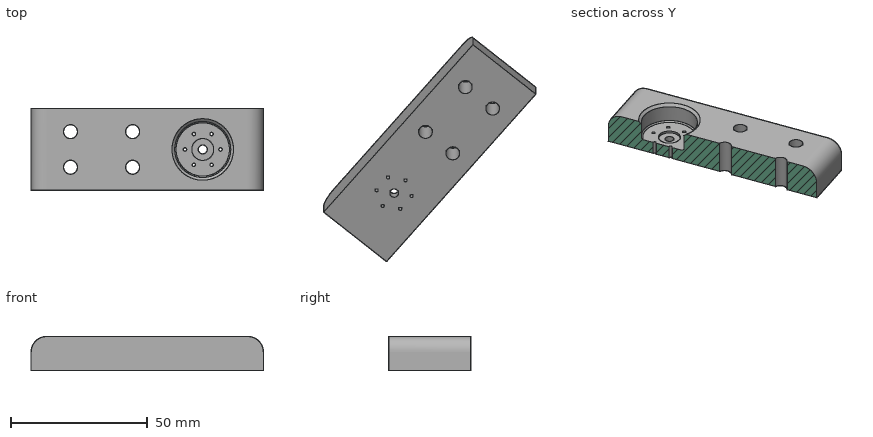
import cadquery as cq

length = 85.0
width = 30.0
height = 12.5
end_radius = 5.8

mount_hole_diameter = 5.0
mount_pitch_x = 22.7
mount_pitch_y = 13.0
mount_center_x = -16.7

pocket_center_x = 20.28
pocket_diameter = 20.5
pocket_depth = 7.5
rim_chamfer = 1.0
floor_chamfer = 0.5

recess_diameter = 8.0
recess_depth = 0.8
center_hole_diameter = 3.2
screw_hole_diameter = 1.15
screw_circle_diameter = 13.0
screw_count = 6

floor_z = height - pocket_depth


def make_body():
    """Bar standing on Z = 0 with both upper ends rounded."""
    bar = cq.Workplane("XY").box(length, width, height, centered=(True, True, False))
    return bar.edges("|Y and >Z").fillet(end_radius)


def make_mount_holes():
    """Four cylinders that pass through the full height."""
    return (
        cq.Workplane("XY")
        .center(mount_center_x, 0)
        .rarray(mount_pitch_x, mount_pitch_y, 2, 2)
        .circle(mount_hole_diameter / 2)
        .extrude(height)
    )


def make_pocket():
    """Revolved pocket with a widened rim, a tapered floor edge and a central recess."""
    radius = pocket_diameter / 2
    recess_radius = recess_diameter / 2
    recess_z = floor_z - recess_depth
    profile = [
        (0, height),
        (radius + rim_chamfer, height),
        (radius, height - rim_chamfer),
        (radius, floor_z + floor_chamfer),
        (radius - floor_chamfer, floor_z),
        (recess_radius, floor_z),
        (recess_radius, recess_z),
        (0, recess_z),
    ]
    pocket = cq.Workplane("XZ").polyline(profile).close().revolve(360, (0, 0), (0, 1))
    return pocket.translate((pocket_center_x, 0, 0))


def make_floor_holes():
    """Central hole and the ring of screw holes through the pocket floor."""
    base = cq.Workplane("XY").center(pocket_center_x, 0)
    center_hole = base.circle(center_hole_diameter / 2).extrude(floor_z)
    screw_holes = (
        base.polarArray(screw_circle_diameter / 2, 0, 360, screw_count)
        .circle(screw_hole_diameter / 2)
        .extrude(floor_z)
    )
    return center_hole.union(screw_holes)


result = (
    make_body()
    .cut(make_mount_holes())
    .cut(make_pocket())
    .cut(make_floor_holes())
)